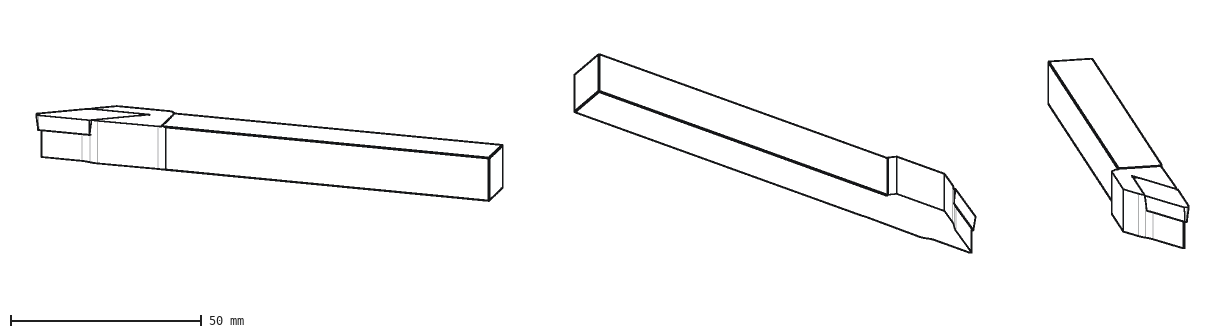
import cadquery as cq
import math

total_length = 125.0
shank_size = 12.0
shank_start = 34.6
shank_chamfer = 0.2

head_drop = 0.2
head_back_y = 14.0
head_corner_chamfer = 1.6
flank_angle = math.radians(35)

seat_z = 7.5
insert_front_length = 14.9
insert_back_y = 9.5
insert_tip_flat = 1.4
insert_nose_radius = 0.8
insert_draft = 7.0

nose_x = 1.2
nose_front_x = 1.5
front_clearance_y = 1.0
front_step_start = 12.5
front_step_end = 17.0
flank_step_start_y = 7.8
flank_step_end_y = 10.9

front_face_y = 0.1
front_relief_y = 0.4
front_relief_end = 33.6
shank_blend_end = 35.9

head_top = shank_size - head_drop
insert_height = head_top - seat_z


def run(rise):
    """X travel of a flank over the given rise in Y."""
    return rise / math.tan(flank_angle)


def flank_x(y):
    """X of the main sloping flank at the given Y."""
    return run(y - insert_tip_flat)


def midpoint(start, end):
    return ((start[0] + end[0]) / 2, (start[1] + end[1]) / 2)


def insert_plane():
    return cq.Workplane("XY").workplane(offset=head_top)


def insert_blank(outline):
    """Plate that narrows downward from the head top to the seat."""
    return outline.close().extrude(-insert_height, taper=insert_draft)


def make_insert():
    back_corner_x = insert_front_length + run(insert_back_y - insert_tip_flat)
    outline = (
        insert_plane()
        .moveTo(insert_nose_radius, 0)
        .lineTo(insert_front_length, 0)
        .lineTo(back_corner_x, insert_back_y - insert_tip_flat)
        .lineTo(back_corner_x, insert_back_y)
        .lineTo(flank_x(insert_back_y), insert_back_y)
        .lineTo(0, insert_tip_flat)
        .lineTo(0, insert_nose_radius)
        .radiusArc((insert_nose_radius, 0), -insert_nose_radius)
    )
    return insert_blank(outline)


def make_pocket():
    """Insert space with a sharp inner corner, open past the tip and both outer sides."""
    margin = 3.8
    outer_x = insert_front_length - run(margin)
    outline = insert_plane().polyline([
        (-margin - insert_front_length, -margin),
        (outer_x, -margin),
        (insert_front_length + run(insert_back_y), insert_back_y),
        (-margin - insert_front_length, insert_back_y),
    ])
    return insert_blank(outline)


def make_head():
    nose_y = insert_tip_flat
    front_start = (front_step_start, front_clearance_y)
    front_end = (front_step_end, front_face_y)
    flank_start = (nose_x + run(flank_step_start_y - nose_y), flank_step_start_y)
    flank_end = (flank_x(flank_step_end_y), flank_step_end_y)
    flank_middle = midpoint(flank_start, flank_end)
    return (
        cq.Workplane("XY")
        .moveTo(nose_front_x, front_clearance_y)
        .lineTo(*front_start)
        .tangentArcPoint(midpoint(front_start, front_end), relative=False)
        .tangentArcPoint(front_end, relative=False)
        .lineTo(shank_start, front_face_y)
        .lineTo(shank_start, head_back_y - head_corner_chamfer)
        .lineTo(shank_start - head_corner_chamfer, head_back_y)
        .lineTo(flank_x(head_back_y), head_back_y)
        .lineTo(*flank_end)
        .tangentArcPoint(flank_middle, relative=False)
        .tangentArcPoint(flank_start, relative=False)
        .lineTo(nose_x, nose_y)
        .close()
        .extrude(head_top)
    )


def make_shank():
    return (
        cq.Workplane("XY")
        .box(total_length - shank_start, shank_size, shank_size, centered=False)
        .translate((shank_start, 0, 0))
        .edges("|X or >X")
        .chamfer(shank_chamfer)
    )


def make_front_relief():
    """Material removed between the head's front face and the plane of the shank front."""
    return (
        cq.Workplane("XY")
        .moveTo(front_step_end, front_face_y)
        .lineTo(front_relief_end, front_relief_y)
        .tangentArcPoint((shank_blend_end, 0), relative=False)
        .lineTo(front_step_end, 0)
        .close()
        .extrude(shank_size)
    )


def make_holder():
    body = make_head().union(make_shank())
    return body.cut(make_front_relief()).cut(make_pocket())


holder = make_holder()
insert = make_insert()
result = cq.Compound.makeCompound([holder.val(), insert.val()])